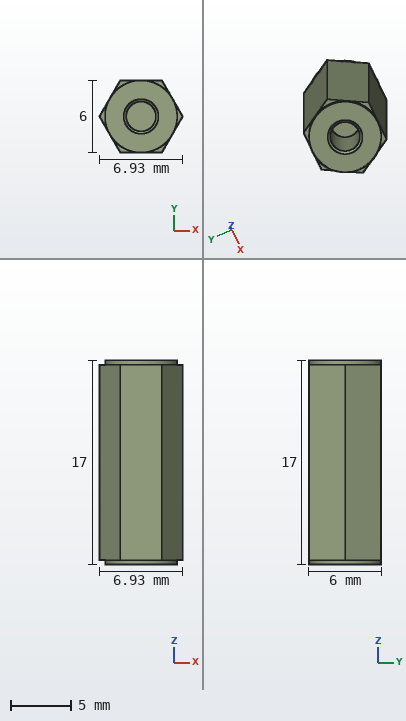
import cadquery as cq
import math

total_length = 17.0
across_flats = 6.0
collar_height = 0.39
bore_diameter = 2.46
countersink_diameter = 2.89
bore_depth = 5.95

across_corners = across_flats / math.cos(math.pi / 6)
hex_length = total_length - 2 * collar_height
countersink_depth = (countersink_diameter - bore_diameter) / 2


def standoff_body():
    """Hexagonal bar with a round collar, as wide as the flats, at each end."""
    core = cq.Workplane("XY").circle(across_flats / 2).extrude(total_length)
    hexagon = (
        cq.Workplane("XY")
        .workplane(offset=collar_height)
        .polygon(6, across_corners)
        .extrude(hex_length)
    )
    return hexagon.union(core)


def end_bore():
    """Blind flat-bottomed bore entering at Z = 0, with a conical countersink."""
    bore_radius = bore_diameter / 2
    half_profile = [
        (0, 0),
        (countersink_diameter / 2, 0),
        (bore_radius, countersink_depth),
        (bore_radius, bore_depth),
        (0, bore_depth),
    ]
    return cq.Workplane("XZ").polyline(half_profile).close().revolve(360, (0, 0), (0, 1))


bottom_bore = end_bore()
top_bore = bottom_bore.mirror("XY").translate((0, 0, total_length))

result = standoff_body().cut(bottom_bore).cut(top_bore)